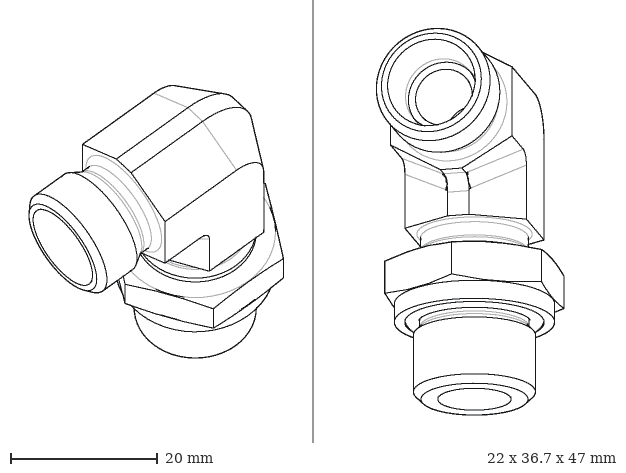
import cadquery as cq
import math


HEXAGON_HALF_ANGLE = math.radians(30)

BLOCK_WIDTH = 17.1
BLOCK_DEPTH = 18.0
HEIGHT = 46.95
BLOCK_BOTTOM = 23.55
BLOCK_REACH = 12.95
INNER_CORNER_RADIUS = 2.0
PORT_AXIS_Z = HEIGHT - BLOCK_DEPTH / 2

STUD_DIAMETER = 16.65
STUD_END_CHAMFER = 1.05
LOWER_NECK_DIAMETER = 14.95
LOWER_THREAD_TOP = 9.15
LOWER_NECK_FILLET = 0.6
UPPER_NECK_DIAMETER = 14.7
UPPER_THREAD_TOP = 20.0
UPPER_NECK_FILLET = 0.4
STUD_ROOT_FILLET = 0.5

PORT_DIAMETER = 16.0
PORT_REACH = 24.0
PORT_END_CHAMFER = 1.0
PORT_THREAD_START = 17.55
PORT_NECK_DIAMETER = 13.7
PORT_NECK_CONE_ANGLE = 30.0
PORT_FILLET = 1.0
MOUTH_DIAMETER = 12.3
SOCKET_DIAMETER = 10.0
SOCKET_DEPTH = 7.0
SOCKET_CONE_HALF_ANGLE = 12.0

STUD_BORE_DIAMETER = 10.0
PORT_BORE_DIAMETER = 8.0
DRILL_TIP_ANGLE = 118.0

NUT_WIDTH = 22.0
NUT_TOP = 19.1
HEX_BOTTOM = 13.55
NUT_BOTTOM = 11.0
NUT_COLLAR_DIAMETER = 21.9
NUT_CHAMFER_ANGLE = 15.0
RING_OUTER_DIAMETER = 19.0
RING_BOTTOM = 10.5
RING_THICKNESS = (RING_OUTER_DIAMETER - LOWER_NECK_DIAMETER) / 2
RING_TOP = RING_BOTTOM + RING_THICKNESS


def turned(points):
    """Solid of revolution about Z from an outline of (radius, height) points."""
    return cq.Workplane("XZ").polyline(points).close().revolve(360, (0, 0, 0), (0, 1, 0))


def disc(diameter, bottom, top):
    """Cylinder about Z between two heights."""
    return cq.Workplane("XY").workplane(offset=bottom).circle(diameter / 2).extrude(top - bottom)


def to_port_axis(body):
    """Turn a body built along Z so that it lies on the port axis, pointing to -Y."""
    return body.rotate((0, 0, 0), (1, 0, 0), 90).translate((0, 0, PORT_AXIS_Z))


def fillet_circle(body, center, radius):
    """Round the circular edges that are centred on a point."""
    x, y, z = center
    tolerance = 0.005
    box = cq.selectors.BoxSelector(
        (x - tolerance, y - tolerance, z - tolerance),
        (x + tolerance, y + tolerance, z + tolerance),
    )
    return body.edges(box).fillet(radius)


def drill(depth, diameter):
    """Drilled hole from the origin up Z: full diameter to the depth, then the conical tip."""
    radius = diameter / 2
    tip = radius / math.tan(math.radians(DRILL_TIP_ANGLE / 2))
    return turned([(0, 0), (radius, 0), (radius, depth), (0, depth + tip)])


def make_block():
    """Two legs of one bar section, joined by a rounded outer and a filleted inner corner."""
    side = BLOCK_WIDTH / 2
    top = BLOCK_DEPTH / 2
    hexagon_slope = math.tan(HEXAGON_HALF_ANGLE)
    shoulder = side * hexagon_slope
    flat_half = side - (top - shoulder) / hexagon_slope
    upper_points = [(side, shoulder), (flat_half, top), (-flat_half, top), (-side, shoulder)]
    section = upper_points + [(-x, -y) for x, y in upper_points]
    half_section = [(side, 0), *upper_points, (-side, 0)]

    vertical_leg = (
        cq.Workplane("XY")
        .workplane(offset=BLOCK_BOTTOM)
        .polyline(section)
        .close()
        .extrude(PORT_AXIS_Z - BLOCK_BOTTOM)
    )
    port_plane = cq.Workplane("XZ", origin=(0, 0, PORT_AXIS_Z))
    horizontal_leg = port_plane.polyline(section).close().extrude(BLOCK_REACH)
    outer_corner = port_plane.polyline(half_section).close().revolve(90, (0, 0, 0), (-1, 0, 0))
    block = vertical_leg.union(horizontal_leg).union(outer_corner)

    margin = 0.45
    mitre_middle = (top + shoulder) / 2
    mitre_edges = cq.selectors.BoxSelector(
        (-side, -top - margin, PORT_AXIS_Z - top - margin),
        (side, -mitre_middle + margin, PORT_AXIS_Z - mitre_middle + margin),
    )
    return block.edges(mitre_edges).fillet(INNER_CORNER_RADIUS)


def make_stud():
    """Threaded stud with a thread relief above and below the nut position."""
    crest = STUD_DIAMETER / 2
    lower_neck = LOWER_NECK_DIAMETER / 2
    upper_neck = UPPER_NECK_DIAMETER / 2
    lower_corner = LOWER_THREAD_TOP + crest - lower_neck
    upper_corner = UPPER_THREAD_TOP + crest - upper_neck
    stud = turned([
        (0, 0),
        (crest - STUD_END_CHAMFER, 0),
        (crest, STUD_END_CHAMFER),
        (crest, LOWER_THREAD_TOP),
        (lower_neck, lower_corner),
        (lower_neck, RING_TOP),
        (crest, RING_TOP),
        (crest, UPPER_THREAD_TOP),
        (upper_neck, upper_corner),
        (upper_neck, BLOCK_BOTTOM),
        (0, BLOCK_BOTTOM),
    ])
    stud = fillet_circle(stud, (0, 0, lower_corner), LOWER_NECK_FILLET)
    return fillet_circle(stud, (0, 0, upper_corner), UPPER_NECK_FILLET)


def make_port():
    """Threaded tube port with a relief next to the block."""
    crest = PORT_DIAMETER / 2
    neck = PORT_NECK_DIAMETER / 2
    neck_corner = PORT_THREAD_START - (crest - neck) / math.tan(math.radians(PORT_NECK_CONE_ANGLE))
    port = turned([
        (0, BLOCK_REACH),
        (neck, BLOCK_REACH),
        (neck, neck_corner),
        (crest, PORT_THREAD_START),
        (crest, PORT_REACH - PORT_END_CHAMFER),
        (crest - PORT_END_CHAMFER, PORT_REACH),
        (0, PORT_REACH),
    ])
    return to_port_axis(fillet_circle(port, (0, 0, neck_corner), PORT_FILLET))


def make_tube_socket():
    """Conical mouth that narrows to a cylindrical socket for the tube end."""
    mouth = MOUTH_DIAMETER / 2
    socket = SOCKET_DIAMETER / 2
    socket_floor = PORT_REACH - SOCKET_DEPTH
    cone_end = PORT_REACH - (mouth - socket) / math.tan(math.radians(SOCKET_CONE_HALF_ANGLE))
    return to_port_axis(turned([
        (0, socket_floor),
        (socket, socket_floor),
        (socket, cone_end),
        (mouth, PORT_REACH),
        (0, PORT_REACH),
    ]))


def make_elbow():
    """Block, stud and port in one piece, with the two bores meeting inside the block."""
    elbow = make_block().union(make_stud()).union(make_port())
    elbow = fillet_circle(elbow, (0, 0, BLOCK_BOTTOM), STUD_ROOT_FILLET)
    elbow = fillet_circle(elbow, (0, -BLOCK_REACH, PORT_AXIS_Z), PORT_FILLET)

    stud_bore = drill(PORT_AXIS_Z, STUD_BORE_DIAMETER)
    port_bore = (
        drill(PORT_REACH, PORT_BORE_DIAMETER)
        .rotate((0, 0, 0), (1, 0, 0), -90)
        .translate((0, -PORT_REACH, PORT_AXIS_Z))
    )
    return elbow.cut(stud_bore).cut(port_bore).cut(make_tube_socket())


def make_lock_nut():
    """Hexagon with both ends chamfered, above a round collar that houses the sealing ring."""
    collar = NUT_COLLAR_DIAMETER / 2
    corner = NUT_WIDTH / 2 / math.cos(HEXAGON_HALF_ANGLE)
    chamfer_height = (corner - collar) * math.tan(math.radians(NUT_CHAMFER_ANGLE))
    hexagon = (
        cq.Workplane("XY")
        .workplane(offset=HEX_BOTTOM)
        .polygon(6, 2 * corner)
        .extrude(NUT_TOP - HEX_BOTTOM)
        .rotate((0, 0, 0), (0, 0, 1), 90)
    )
    chamfer_envelope = turned([
        (0, HEX_BOTTOM),
        (collar, HEX_BOTTOM),
        (corner, HEX_BOTTOM + chamfer_height),
        (corner, NUT_TOP - chamfer_height),
        (collar, NUT_TOP),
        (0, NUT_TOP),
    ])
    collar_body = disc(NUT_COLLAR_DIAMETER, NUT_BOTTOM, HEX_BOTTOM)
    threaded_hole = disc(STUD_DIAMETER, NUT_BOTTOM, NUT_TOP)
    ring_recess = disc(RING_OUTER_DIAMETER, NUT_BOTTOM, RING_TOP)
    return hexagon.intersect(chamfer_envelope).union(collar_body).cut(threaded_hole).cut(ring_recess)


def make_sealing_ring():
    """O-ring around the lower neck, standing a little below the nut."""
    section_radius = RING_THICKNESS / 2
    center_radius = LOWER_NECK_DIAMETER / 2 + section_radius
    return (
        cq.Workplane("XZ")
        .center(center_radius, RING_BOTTOM + section_radius)
        .circle(section_radius)
        .revolve(360, (-center_radius, 0, 0), (-center_radius, 1, 0))
    )


elbow = make_elbow()
lock_nut = make_lock_nut()
sealing_ring = make_sealing_ring()

result = cq.Compound.makeCompound([elbow.val(), lock_nut.val(), sealing_ring.val()])